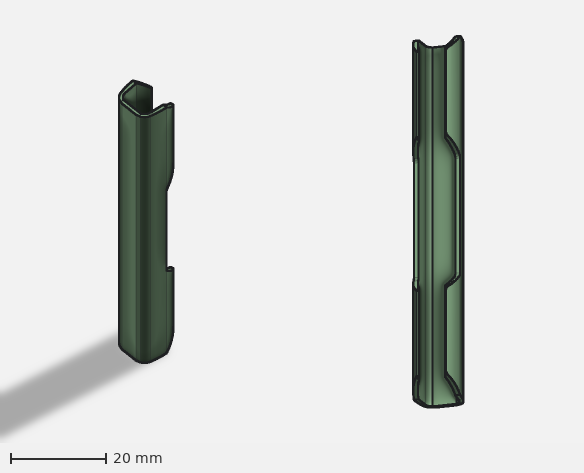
import cadquery as cq

length = 80.0
half_width = 5.1
depth = 9.8

back_half_width = 2.2
floor_thickness = 1.0
wall_thickness = 1.0
wall_height = 6.1
corner_start = (3.2, 0.3)
corner_middle = (4.0, 1.0)
corner_end = (4.5, 1.9)
wall_middle = (4.9, 3.8)
lip_outer_middle = (4.6, 7.9)
lip_tip_outer = (3.3, depth)
lip_tip_inner = (2.9, 9.3)
lip_inner_middle = (3.7, 7.8)
inner_wall_foot = (3.8, 2.4)
inner_corner_middle = (3.4, 1.6)
inner_floor_half_width = 2.6

envelope_half_width = half_width + 0.8
lip_depth = depth - wall_height
lip_tip_near = 17.0
lip_tip_far = length / 2 - lip_depth
lip_corner_radius = 1.2


def half_section():
    """Right half of the cross-section, with full-height lip, extruded."""
    inner_half_width = half_width - wall_thickness
    return (
        cq.Workplane("XY", origin=(0, 0, -length / 2))
        .lineTo(back_half_width, 0)
        .lineTo(*corner_start)
        .threePointArc(corner_middle, corner_end)
        .threePointArc(wall_middle, (half_width, wall_height))
        .threePointArc(lip_outer_middle, lip_tip_outer)
        .lineTo(*lip_tip_inner)
        .threePointArc(lip_inner_middle, (inner_half_width, wall_height))
        .lineTo(*inner_wall_foot)
        .threePointArc(inner_corner_middle, (inner_floor_half_width, floor_thickness))
        .lineTo(0, floor_thickness)
        .close()
        .extrude(length)
    )


def lip_envelope():
    """Trapezoidal block that keeps the upper pair of lips."""
    return (
        cq.Workplane("YZ", origin=(-envelope_half_width, 0, 0))
        .moveTo(wall_height, lip_tip_near - lip_depth)
        .lineTo(depth, lip_tip_near)
        .lineTo(depth, lip_tip_far)
        .lineTo(wall_height, lip_tip_far + lip_depth)
        .close()
        .extrude(2 * envelope_half_width)
        .edges("|X and >Y")
        .fillet(lip_corner_radius)
    )


half = half_section()
profile = half.union(half.mirror("YZ"))

channel_envelope = cq.Workplane("XY").box(
    2 * envelope_half_width, wall_height, length, centered=(True, False, True)
)
upper_lips = lip_envelope()
envelope = channel_envelope.union(upper_lips).union(upper_lips.mirror("XY"))

pick_margin = 0.1
inner_slope_foot = lip_tip_near - lip_depth
foot_edges = cq.selectors.BoxSelector(
    (-envelope_half_width, wall_height - pick_margin, -inner_slope_foot - pick_margin),
    (envelope_half_width, wall_height + pick_margin, inner_slope_foot + pick_margin),
)
envelope = envelope.edges("|X").edges(foot_edges).fillet(lip_corner_radius)

result = profile.intersect(envelope)